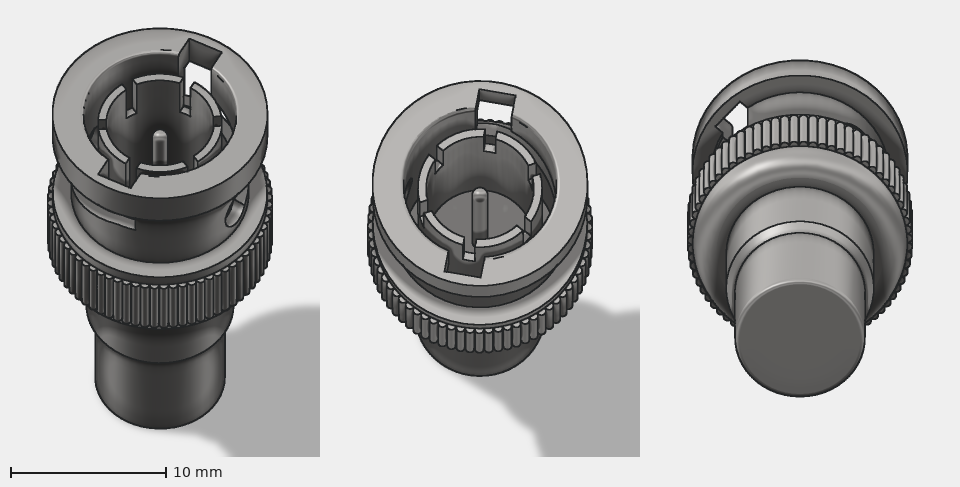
import cadquery as cq

total_height = 27.95

head_radius = 6.93
head_height = 2.35
head_bottom = total_height - head_height

sleeve_radius = 5.73
bore_radius = 4.92
bore_mouth_fillet = 0.25
bore_floor = 15.65

nut_radius = 6.9
nut_top = 19.6
nut_bottom = 13.15
nut_fillet = 1.5

ridge_count = 72
ridge_radius = 0.28
ridge_tip_radius = 7.25
ridge_top = 18.83
ridge_bottom = 14.72

neck_radius = 4.75
neck_bottom = 7.26
tail_radius = 4.2
neck_chamfer = neck_radius - tail_radius
tail_fillet = 0.3

tube_outer_radius = 4.0
tube_inner_radius = 3.46
tube_top = 26.93
tube_slot_count = 6
tube_slot_width = 0.78
tube_slot_floor = 23.92
pin_radius = 0.5
pin_shoulder = 25.43

notch_width = 2.37
notch_reach = 6.25
notch_floor = 22.77
lock_hole_radius = 1.45
lock_hole_height = 21.63
helix_pitch = 10.05
helix_start = 20.28
helix_slot_height = 2.5
helix_sweep_angle = 90.0

cut_margin = 0.28


def cylinder(radius, bottom, top):
    """Upright cylinder on the main axis."""
    return cq.Workplane("XY").workplane(offset=bottom).circle(radius).extrude(top - bottom)


def outer_body():
    head = cylinder(head_radius, head_bottom, total_height)
    sleeve = cylinder(sleeve_radius, nut_top, head_bottom)
    nut = cylinder(nut_radius, nut_bottom, nut_top).faces("<Z").edges().fillet(nut_fillet)
    neck = cylinder(neck_radius, neck_bottom, nut_bottom).faces("<Z").edges().chamfer(neck_chamfer)
    tail = cylinder(tail_radius, 0, neck_bottom).faces("<Z").edges().fillet(tail_fillet)
    return tail.union(neck).union(nut).union(sleeve).union(head)


def grip_ridges():
    return (
        cq.Workplane("XY")
        .workplane(offset=ridge_bottom)
        .polarArray(ridge_tip_radius - ridge_radius, 0, 360, ridge_count)
        .circle(ridge_radius)
        .extrude(ridge_top - ridge_bottom)
    )


def bore():
    """Bore with a rounded, outward-flaring mouth."""
    flare_start = total_height - bore_mouth_fillet
    profile = (
        cq.Workplane("XZ")
        .moveTo(0, bore_floor)
        .lineTo(bore_radius, bore_floor)
        .lineTo(bore_radius, flare_start)
        .radiusArc((bore_radius + bore_mouth_fillet, total_height), bore_mouth_fillet)
        .lineTo(0, total_height)
        .close()
    )
    return profile.revolve(360, (0, 0, 0), (0, 1, 0))


def bayonet_cut():
    """Notch at +Y, helical slot down to +X and the round locking hole there."""
    notch = (
        cq.Workplane("XY")
        .workplane(offset=notch_floor)
        .center(0, notch_reach / 2)
        .rect(notch_width, notch_reach)
        .extrude(total_height - notch_floor)
    )
    helix_rise = helix_pitch * helix_sweep_angle / 360
    path = cq.Workplane(cq.Wire.makeHelix(helix_pitch, helix_rise, bore_radius))
    slot_inner = tube_outer_radius + cut_margin
    slot_outer = sleeve_radius + cut_margin
    slot = (
        cq.Workplane("XZ")
        .moveTo(slot_inner, 0)
        .lineTo(slot_outer, 0)
        .lineTo(slot_outer, helix_slot_height)
        .lineTo(slot_inner, helix_slot_height)
        .close()
        .sweep(path, isFrenet=True)
        .translate((0, 0, helix_start))
    )
    lock_hole = (
        cq.Workplane("YZ")
        .center(0, lock_hole_height)
        .circle(lock_hole_radius)
        .extrude(sleeve_radius + cut_margin)
    )
    return notch.union(slot).union(lock_hole)


def contact_tube():
    tube = cylinder(tube_outer_radius, bore_floor, tube_top)
    tube = tube.cut(cylinder(tube_inner_radius, bore_floor, tube_top))
    slot = (
        cq.Workplane("XY")
        .workplane(offset=tube_slot_floor)
        .rect(tube_slot_width, tube_outer_radius + cut_margin)
        .extrude(tube_top - tube_slot_floor)
        .translate((0, (tube_outer_radius + cut_margin) / 2, 0))
    )
    for i in range(tube_slot_count):
        tube = tube.cut(slot.rotate((0, 0, 0), (0, 0, 1), i * 360 / tube_slot_count))
    return tube


def centre_pin():
    tip = cq.Workplane("XY").sphere(pin_radius).translate((0, 0, pin_shoulder))
    return cylinder(pin_radius, bore_floor, pin_shoulder).union(tip)


shell = outer_body().union(grip_ridges()).cut(bore())
for turn in (0, 180):
    shell = shell.cut(bayonet_cut().rotate((0, 0, 0), (0, 0, 1), turn))

result = shell.union(contact_tube()).union(centre_pin())